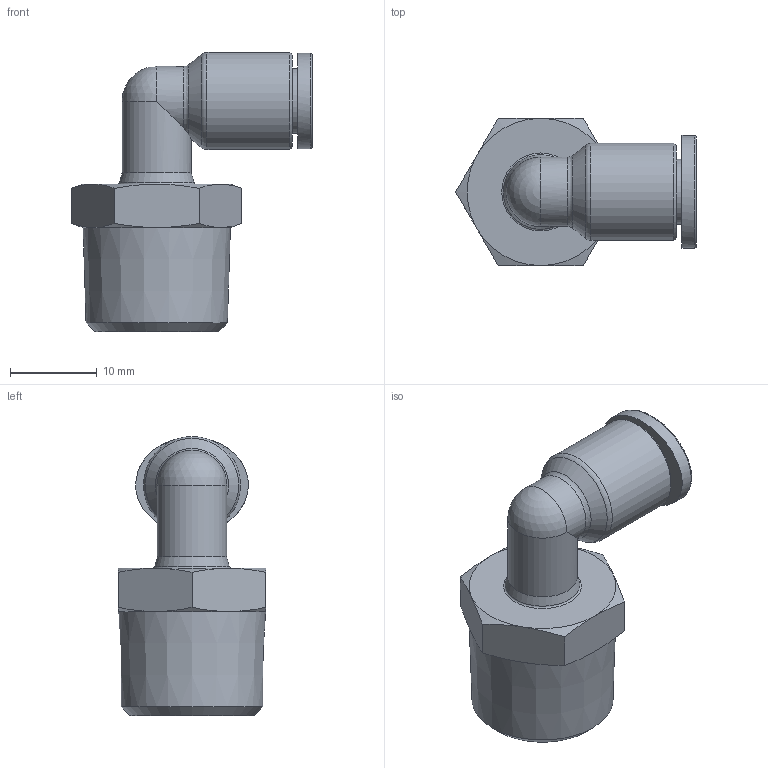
import cadquery as cq
import math

HEX_BOTTOM_Z = 12.0
HEX_HEIGHT = 5.0
HEX_TOP_Z = HEX_BOTTOM_Z + HEX_HEIGHT
FLARE_HEIGHT = 1.3
FLARE_TOP_Z = HEX_TOP_Z + FLARE_HEIGHT
OVERALL_HEIGHT = 32.2

OVERALL_LENGTH = 27.77

PLUG_TOP_RADIUS = 8.5
PLUG_TAPER = 1 / 32
PLUG_CHAMFER = 1.0
PLUG_ROOT_RADIUS = PLUG_TOP_RADIUS - PLUG_TAPER * (HEX_BOTTOM_Z - PLUG_CHAMFER)

HEX_ACROSS_FLATS = 17.0
HEX_CORNER_RADIUS = HEX_ACROSS_FLATS / math.sqrt(3)
HEX_BEVEL_ANGLE = 20.0

ELBOW_RADIUS = 4.0
FLARE_RADIUS = 4.3
FLARE_FILLET = 0.2

SOCKET_RADIUS = 5.6
AXIS_Z = OVERALL_HEIGHT - SOCKET_RADIUS
SHOULDER_START_X = 3.44
SHOULDER_END_X = 5.45
SHOULDER_ROUND = 1.0
SOCKET_END_X = 15.65
SOCKET_EDGE_BEVEL = 0.3

BUTTON_NECK_RADIUS = 3.75
BUTTON_START_X = 16.3
BUTTON_END_X = OVERALL_LENGTH - HEX_CORNER_RADIUS
BUTTON_WIDTH = 13.0
BUTTON_HEIGHT = 11.0
BUTTON_EDGE_ROUND = 0.2


def revolve_about_stem(points):
    """Revolve a (radius, z) outline about the vertical axis."""
    return cq.Workplane("XZ").polyline(points).close().revolve(360, (0, 0), (0, 1))


def make_plug():
    return revolve_about_stem([
        (0, 0),
        (PLUG_ROOT_RADIUS - PLUG_CHAMFER, 0),
        (PLUG_ROOT_RADIUS, PLUG_CHAMFER),
        (PLUG_TOP_RADIUS, HEX_BOTTOM_Z),
        (0, HEX_BOTTOM_Z),
    ])


def make_hex():
    """Hexagon with corners on X, both faces bevelled down to the inscribed circle."""
    prism = (
        cq.Workplane("XY", origin=(0, 0, HEX_BOTTOM_Z))
        .polygon(6, 2 * HEX_CORNER_RADIUS)
        .extrude(HEX_HEIGHT)
    )
    face_radius = HEX_ACROSS_FLATS / 2
    bevel_drop = (HEX_CORNER_RADIUS - face_radius) * math.tan(math.radians(HEX_BEVEL_ANGLE))
    envelope = revolve_about_stem([
        (0, HEX_BOTTOM_Z),
        (face_radius, HEX_BOTTOM_Z),
        (HEX_CORNER_RADIUS, HEX_BOTTOM_Z + bevel_drop),
        (HEX_CORNER_RADIUS, HEX_TOP_Z - bevel_drop),
        (face_radius, HEX_TOP_Z),
        (0, HEX_TOP_Z),
    ])
    return prism.intersect(envelope)


def make_stem():
    """Upright leg of the elbow, flared and filleted where it meets the hexagon."""
    fillet_diagonal = FLARE_FILLET * math.sqrt(0.5)
    return (
        cq.Workplane("XZ")
        .moveTo(0, HEX_TOP_Z)
        .lineTo(FLARE_RADIUS + FLARE_FILLET, HEX_TOP_Z)
        .threePointArc(
            (FLARE_RADIUS + FLARE_FILLET - fillet_diagonal, HEX_TOP_Z + FLARE_FILLET - fillet_diagonal),
            (FLARE_RADIUS, HEX_TOP_Z + FLARE_FILLET),
        )
        .lineTo(ELBOW_RADIUS, FLARE_TOP_Z)
        .lineTo(ELBOW_RADIUS, AXIS_Z)
        .lineTo(0, AXIS_Z)
        .close()
        .revolve(360, (0, 0), (0, 1))
    )


def make_socket():
    """Horizontal leg of the elbow with its conical shoulder and socket body."""
    shoulder_length = SHOULDER_END_X - SHOULDER_START_X
    shoulder_angle = math.atan2(SOCKET_RADIUS - ELBOW_RADIUS, shoulder_length)
    tangent_length = SHOULDER_ROUND * math.tan(shoulder_angle / 2)
    tangent_run = tangent_length * math.cos(shoulder_angle)
    tangent_rise = tangent_length * math.sin(shoulder_angle)
    return (
        cq.Workplane("XZ", origin=(0, 0, AXIS_Z))
        .moveTo(0, 0)
        .lineTo(0, ELBOW_RADIUS)
        .lineTo(SHOULDER_START_X - tangent_length, ELBOW_RADIUS)
        .tangentArcPoint((SHOULDER_START_X + tangent_run, ELBOW_RADIUS + tangent_rise), relative=False)
        .lineTo(SHOULDER_END_X - tangent_run, SOCKET_RADIUS - tangent_rise)
        .tangentArcPoint((SHOULDER_END_X + tangent_length, SOCKET_RADIUS), relative=False)
        .lineTo(SOCKET_END_X - SOCKET_EDGE_BEVEL, SOCKET_RADIUS)
        .lineTo(SOCKET_END_X, SOCKET_RADIUS - SOCKET_EDGE_BEVEL)
        .lineTo(SOCKET_END_X, 0)
        .close()
        .revolve(360, (0, 0), (1, 0))
    )


def make_button():
    """Neck and oval release button at the mouth of the socket."""
    neck = (
        cq.Workplane("YZ", origin=(SOCKET_END_X, 0, AXIS_Z))
        .circle(BUTTON_NECK_RADIUS)
        .extrude(BUTTON_START_X - SOCKET_END_X)
    )
    button = (
        cq.Workplane("YZ", origin=(BUTTON_START_X, 0, AXIS_Z))
        .ellipse(BUTTON_WIDTH / 2, BUTTON_HEIGHT / 2)
        .extrude(BUTTON_END_X - BUTTON_START_X)
        .faces(">X")
        .edges()
        .fillet(BUTTON_EDGE_ROUND)
    )
    return neck.union(button)


elbow_ball = cq.Workplane("XY", origin=(0, 0, AXIS_Z)).sphere(ELBOW_RADIUS)

result = (
    make_plug()
    .union(make_hex())
    .union(make_stem())
    .union(elbow_ball)
    .union(make_socket())
    .union(make_button())
)